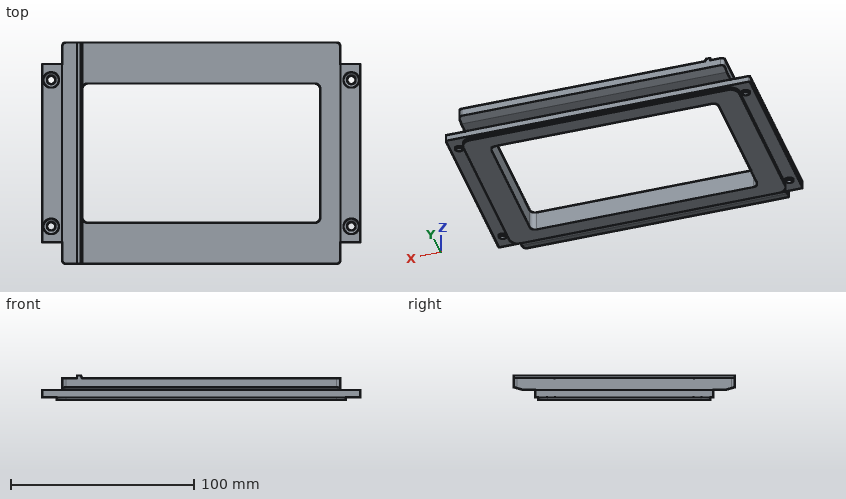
import cadquery as cq
import math

plate_length = 174.0
plate_width = 97.5
plate_thickness = 4.0
plate_corner_radius = 0.6

step_length = 158.0
step_width = 94.0
step_height = 1.5
step_corner_radius = 5.0

frame_length = 152.0
frame_width = 121.0
frame_thickness = 6.5
frame_corner_radius = 2.0
bevel_width = 5.0
bevel_height = 1.5

window_length = 130.0
window_width = 76.0
window_corner_radius = 3.0

ridge_base_width = 3.0
ridge_height = 1.5
ridge_slope_angle = 60.0

hole_spacing_x = 164.0
hole_spacing_y = 80.0
hole_diameter = 4.5
countersink_diameter = 8.5
countersink_angle = 90.0

plate_bottom = step_height
plate_top = plate_bottom + plate_thickness
frame_top = plate_top + frame_thickness


def rounded_block(length, width, height, radius, bottom):
    """Block centred on the Z axis with rounded vertical edges."""
    block = cq.Workplane("XY").box(length, width, height, centered=(True, True, False))
    return block.edges("|Z").fillet(radius).translate((0, 0, bottom))


def make_frame():
    """Cover frame with its long lower edges bevelled."""
    frame = rounded_block(frame_length, frame_width, frame_thickness, frame_corner_radius, plate_top)
    half_width = frame_width / 2
    flat_half_width = half_width - bevel_width
    bevel_top = plate_top + bevel_height
    envelope = (
        cq.Workplane("YZ")
        .polyline([
            (-flat_half_width, plate_top),
            (flat_half_width, plate_top),
            (half_width, bevel_top),
            (half_width, frame_top),
            (-half_width, frame_top),
            (-half_width, bevel_top),
        ])
        .close()
        .extrude(frame_length / 2, both=True)
    )
    return frame.intersect(envelope)


def make_ridge():
    """Ridge with an upright left side and a sloping side towards the window."""
    right = -window_length / 2
    left = right - ridge_base_width
    ridge_top = frame_top + ridge_height
    slope_run = ridge_height / math.tan(math.radians(ridge_slope_angle))
    return (
        cq.Workplane("XZ")
        .polyline([
            (left, frame_top),
            (right, frame_top),
            (right - slope_run, ridge_top),
            (left, ridge_top),
        ])
        .close()
        .extrude(frame_width / 2, both=True)
    )


def cut_screw_holes(plate):
    """Countersunk holes near the four corners of the mounting plate."""
    return (
        plate.faces(">Z")
        .workplane(origin=(0, 0, plate_top))
        .rarray(hole_spacing_x, hole_spacing_y, 2, 2)
        .cskHole(hole_diameter, countersink_diameter, countersink_angle)
    )


step = rounded_block(step_length, step_width, step_height, step_corner_radius, 0)
plate = rounded_block(plate_length, plate_width, plate_thickness, plate_corner_radius, plate_bottom)
window = rounded_block(window_length, window_width, frame_top, window_corner_radius, 0)

body = plate.union(step)
body = cut_screw_holes(body)
body = body.union(make_frame()).union(make_ridge())
result = body.cut(window)